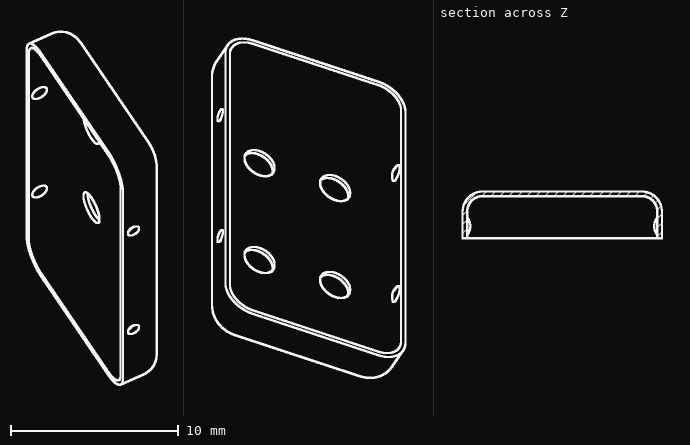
import cadquery as cq
import math

width = 11.9
depth = 2.8
height = 22.6
corner_radius = 1.8
outer_edge_radius = 1.2

wall = 0.3
inner_edge_radius = outer_edge_radius - wall

hole_diameter = 2.0
hole_spacing_x = 5.0
hole_spacing_z = 8.0

dimple_diameter = 0.77
dimple_depth = 0.18
dimple_radius = (dimple_diameter**2 / 4 + dimple_depth**2) / (2 * dimple_depth)
ball_center_x = width / 2 + dimple_radius - dimple_depth
dimple_spacing_z = 10.0
dimple_from_rim = 0.72

rim_y = -depth / 2


def rounded_block(size_x, size_z, length, side_radius, edge_radius):
    """Block reaching from the rim toward +Y, with rounded corners and a rounded far edge."""
    block = cq.Workplane("XY").box(size_x, length, size_z).edges("|Y").fillet(side_radius)
    block = block.faces(">Y").edges().fillet(edge_radius)
    return block.translate((0, rim_y + length / 2, 0))


def floor_holes():
    """Four cylinders that pass through the floor."""
    return (
        cq.Workplane("XZ", origin=(0, -rim_y, 0))
        .rarray(hole_spacing_x, hole_spacing_z, 2, 2)
        .circle(hole_diameter / 2)
        .extrude(depth)
    )


def dome(radius, side, end, base_offset):
    """Cap of a dimple ball, pointing inward, its flat base base_offset inward of the ball center."""
    center = cq.Vector(side * ball_center_x, rim_y + dimple_from_rim, end * dimple_spacing_z / 2)
    inward = cq.Vector(-side, 0, 0)
    base_latitude = math.degrees(math.asin(base_offset / radius))
    return cq.Workplane(cq.Solid.makeSphere(radius, center, inward, base_latitude, 90, 360))


outer = rounded_block(width, height, depth, corner_radius, outer_edge_radius)
cavity = rounded_block(
    width - 2 * wall, height - 2 * wall, depth - wall, corner_radius - wall, inner_edge_radius
)
result = outer.cut(cavity).cut(floor_holes())

mid_wall_offset = ball_center_x - (width - wall) / 2
for side in (-1, 1):
    for end in (-1, 1):
        result = result.union(dome(dimple_radius + wall, side, end, mid_wall_offset))
        result = result.cut(dome(dimple_radius, side, end, 0))